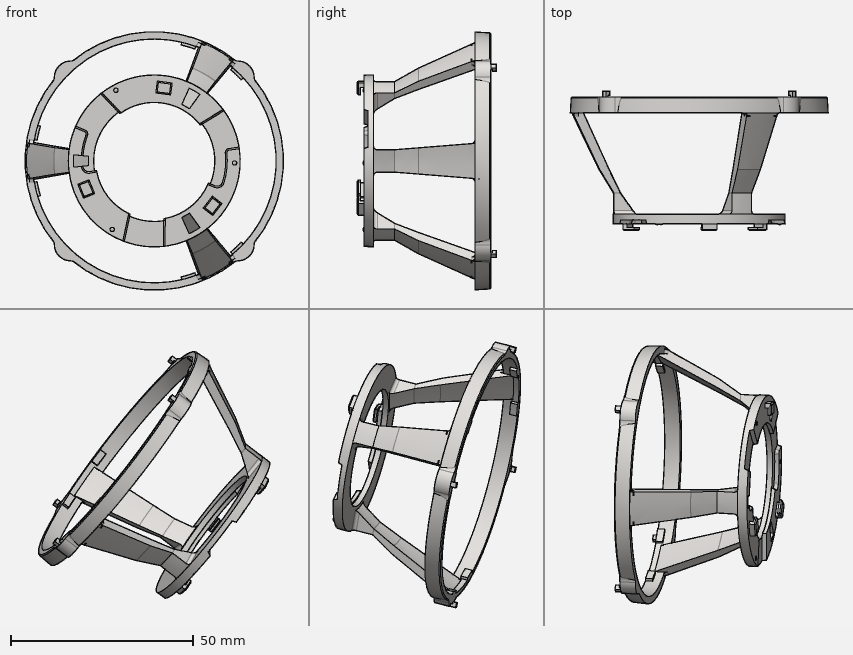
import cadquery as cq
import math


SMALL_OUTER_R = 23.55
SMALL_INNER_R = 16.55
LIP_INNER_R = 16.0
SMALL_THICKNESS = 2.67
RECESS_DEPTH = 1.1
RECESS_TAPER = 22.0
PAD_INNER_R = 20.0
PAD_CORNER_R = 0.7
PAD_ROOT_R = 2.0
CLEARANCE = 1.5

LEFT_RECESS_EDGE = (124.5, 127.5)
RIGHT_RECESS_EDGE = (39.4, 36.8)
BOTTOM_RECESS_EDGES = ((244.1, 248.5), (281.0, 277.1))
LEFT_PAD = (157.2, 190.8)
RIGHT_PAD = (8.2, -23.7)

LARGE_OUTER_R = 35.395
LARGE_TOP_R = 35.15
LARGE_INNER_R = 33.35
LARGE_START_Y = 30.4
LARGE_END_Y = 34.75
LARGE_CHAMFER = 0.3

LOBE_ANGLES = (45, 135, 225, 315)
LOBE_TIP_R = 36.85
LOBE_R = 4.5
LOBE_BLEND_R = 3.0
POST_TIP_Y = 36.3
POST_OUTER_R = 36.75
POST_WIDTH = 1.4
POST_STEM = 0.8
POST_LIP = 0.6
POST_LIP_HEIGHT = 1.1

STRUT_ANGLES = (60, 180, 300)
FOOT_TOP_Y = 8.4
KNEE_Y = 14.9
FOOT_OUTER_R = 23.5
KNEE_OUTER_R = 27.5
STRUT_OUTER_END_R = 35.1
STRUT_OUTER_END_Y = LARGE_START_Y + 0.3
FOOT_TOE_R = 17.7
FOOT_INNER_R = 21.7
KNEE_INNER_R = 24.9
FOOT_HALF_WIDTH = 3.1
STRUT_TIP_HALF_WIDTH = 5.2
STRUT_FILLET = 1.0
FILLET_INNER_R = 33.45
FILLET_OUTER_R = 34.6
ROOT_DEPTH = 0.5
STRUT_SWEEP = 60.0

WINDOW_INNER_R = 17.2
WINDOW_OUTER_R = 22.1
WINDOW_INNER_WIDTH = 2.4
WINDOW_OUTER_WIDTH = 3.4
WINDOW_DEPTH = 6.6

PLATE_INNER_R = 32.55
PLATE_START = 10.0
PLATE_END = 17.0
PLATE_HEIGHT = 2.0

HOOK_ANGLES = (82.4, 202.4, 322.4)
HOOK_OUTER_R = 21.8
HOOK_LENGTH = 3.3
HOOK_WIDTH = 4.1
HOOK_HEIGHT = 1.86
HOOK_STEM = 1.3
HOOK_LIP = 0.9
HOOK_CHAMFER = 0.35
BUMP_ANGLES = (118.5, 238.5, 358.5)
BUMP_CENTER_R = 22.0
BUMP_R = 0.6
BUMP_HEIGHT = 0.25


def polar(radius, angle):
    """Point in the X-Z plane at a radius and an angle."""
    return (radius * math.cos(math.radians(angle)), radius * math.sin(math.radians(angle)))


def plane_at(y):
    """X-Z workplane at height y; a negative extrusion grows toward +Y."""
    return cq.Workplane("XZ", origin=(0, y, 0))


def turned(body, angle):
    """Turn a body built along +X to its angle around the Y axis."""
    return body.rotate((0, 0, 0), (0, 1, 0), -angle)


def revolved(points, sweep=360):
    """Revolve a closed (radius, y) outline around the Y axis, centred on +X for a part turn."""
    body = cq.Workplane("XY").polyline(points).close().revolve(sweep, (0, 0, 0), (0, 1, 0))
    return turned(body, sweep / 2)


def tube(inner_r, outer_r, start_y, end_y):
    return plane_at(start_y).circle(outer_r).circle(inner_r).extrude(start_y - end_y)


def edge_line(edge):
    """Ends of a recess edge, carried past the ring on both sides."""
    inner = cq.Vector(*polar(LIP_INNER_R, edge[0]))
    outer = cq.Vector(*polar(SMALL_OUTER_R, edge[1]))
    overrun = (outer - inner).normalized() * CLEARANCE
    return (inner - overrun).toTuple()[:2], (outer + overrun).toTuple()[:2]


def tapered_pocket(prism):
    """Pocket with leaning walls from the mounting-face outline of a prism."""
    outline = prism.faces("<Y").wires().val()
    return plane_at(0).add(outline).toPending().extrude(-RECESS_DEPTH, taper=RECESS_TAPER)


def pad_recess(edge, pad):
    """Recess from a sector edge to a pad that is left standing at the outer rim."""
    inner, outer = edge_line(edge)
    corner_angle, root_angle = pad
    past_r = SMALL_OUTER_R + CLEARANCE
    corner = polar(PAD_INNER_R, corner_angle)
    root = polar(PAD_INNER_R, root_angle)
    prism = (
        plane_at(0)
        .moveTo(*outer)
        .lineTo(*inner)
        .lineTo(*polar(LIP_INNER_R - CLEARANCE, root_angle))
        .lineTo(*root)
        .threePointArc(polar(PAD_INNER_R, (corner_angle + root_angle) / 2), corner)
        .lineTo(*polar(past_r, corner_angle))
        .close()
        .extrude(-RECESS_DEPTH)
    )
    for point, radius in ((corner, PAD_CORNER_R), (root, PAD_ROOT_R)):
        nearest = cq.selectors.NearestToPointSelector((point[0], RECESS_DEPTH / 2, point[1]))
        prism = prism.edges("|Y").edges(nearest).fillet(radius)
    return tapered_pocket(prism)


def plain_recess(first_edge, second_edge):
    first_inner, first_outer = edge_line(first_edge)
    second_inner, second_outer = edge_line(second_edge)
    outline = [first_inner, first_outer, second_outer, second_inner]
    return tapered_pocket(plane_at(0).polyline(outline).close().extrude(-RECESS_DEPTH))


def small_ring():
    ring = revolved([
        (LIP_INNER_R, 0),
        (SMALL_OUTER_R, 0),
        (SMALL_OUTER_R, SMALL_THICKNESS),
        (SMALL_INNER_R, SMALL_THICKNESS),
        (SMALL_INNER_R, RECESS_DEPTH),
        (LIP_INNER_R, RECESS_DEPTH),
    ])
    ring = ring.cut(pad_recess(LEFT_RECESS_EDGE, LEFT_PAD))
    ring = ring.cut(pad_recess(RIGHT_RECESS_EDGE, RIGHT_PAD))
    return ring.cut(plain_recess(*BOTTOM_RECESS_EDGES))


def lobe():
    """Rounded ear on the rim, blended into it by a concave arc on each side."""
    center_r = LOBE_TIP_R - LOBE_R
    to_rim = LARGE_TOP_R + LOBE_BLEND_R
    to_lobe = LOBE_R + LOBE_BLEND_R
    cosine = (to_rim**2 + center_r**2 - to_lobe**2) / (2 * to_rim * center_r)
    half_angle = math.degrees(math.acos(cosine))
    ends = []
    for side in (-1, 1):
        blend = cq.Vector(*polar(to_rim, side * half_angle))
        rim_point = cq.Vector(*polar(LARGE_TOP_R, side * half_angle))
        toward_lobe = (cq.Vector(center_r, 0) - blend).normalized()
        toward_rim = (rim_point - blend).normalized()
        middle = blend + (toward_lobe + toward_rim).normalized() * LOBE_BLEND_R
        lobe_point = blend + toward_lobe * LOBE_BLEND_R
        ends.append([p.toTuple()[:2] for p in (rim_point, middle, lobe_point)])
    first, second = ends
    return (
        plane_at(LARGE_START_Y)
        .moveTo(*first[0])
        .threePointArc(first[1], first[2])
        .threePointArc((LOBE_TIP_R, 0), second[2])
        .threePointArc(second[1], second[0])
        .lineTo(*polar(LARGE_INNER_R + LARGE_CHAMFER, half_angle))
        .threePointArc(
            (LARGE_INNER_R + LARGE_CHAMFER, 0),
            polar(LARGE_INNER_R + LARGE_CHAMFER, -half_angle),
        )
        .close()
        .extrude(LARGE_START_Y - LARGE_END_Y)
    )


def post():
    """Small hook standing on a lobe, flush with its outside, with a lip pointing inward."""
    stem_r = POST_OUTER_R - POST_STEM
    lip_r = stem_r - POST_LIP
    return (
        cq.Workplane("XY", origin=(0, 0, -POST_WIDTH / 2))
        .moveTo(stem_r, LARGE_END_Y - ROOT_DEPTH)
        .lineTo(stem_r, POST_TIP_Y - POST_LIP_HEIGHT)
        .lineTo(lip_r, POST_TIP_Y - POST_LIP_HEIGHT)
        .lineTo(lip_r, POST_TIP_Y)
        .lineTo(POST_OUTER_R, POST_TIP_Y)
        .lineTo(POST_OUTER_R, LARGE_END_Y - ROOT_DEPTH)
        .close()
        .extrude(POST_WIDTH)
    )


def large_ring():
    ring = revolved([
        (LARGE_INNER_R, LARGE_START_Y),
        (LARGE_OUTER_R, LARGE_START_Y),
        (LARGE_TOP_R, LARGE_END_Y - LARGE_CHAMFER),
        (LARGE_TOP_R - LARGE_CHAMFER, LARGE_END_Y),
        (LARGE_INNER_R, LARGE_END_Y),
    ])
    for angle in LOBE_ANGLES:
        ring = ring.union(turned(lobe().union(post()), angle))
    return ring


def arm_half_width(y):
    """Half width of the widening arm at height y."""
    rise = (y - FOOT_TOP_Y) / (LARGE_END_Y - FOOT_TOP_Y)
    return FOOT_HALF_WIDTH + rise * (STRUT_TIP_HALF_WIDTH - FOOT_HALF_WIDTH)


def strut_width_outline():
    """Strut seen along its radius: straight foot, widening arm, flared base."""
    w = FOOT_HALF_WIDTH
    base = SMALL_THICKNESS
    f = STRUT_FILLET
    inset = f * (1 - math.sqrt(0.5))
    return (
        cq.Workplane("ZY")
        .moveTo(-w - f, 0)
        .lineTo(-w - f, base)
        .threePointArc((-w - inset, base + inset), (-w, base + f))
        .lineTo(-w, FOOT_TOP_Y)
        .lineTo(-STRUT_TIP_HALF_WIDTH, LARGE_END_Y)
        .lineTo(STRUT_TIP_HALF_WIDTH, LARGE_END_Y)
        .lineTo(w, FOOT_TOP_Y)
        .lineTo(w, base + f)
        .threePointArc((w + inset, base + inset), (w + f, base))
        .lineTo(w + f, 0)
        .close()
        .extrude(-LARGE_OUTER_R)
    )


def strut_fillets():
    """Concave fillets between the strut sides and the near face of the large ring."""
    f = STRUT_FILLET
    inset = f * (1 - math.sqrt(0.5))
    y = LARGE_START_Y
    w = arm_half_width(y - f)
    body = cq.Workplane("XY")
    for side in (-1, 1):
        fillet = (
            cq.Workplane("ZY")
            .moveTo(side * (w - f), y)
            .lineTo(side * (w - f), y - f)
            .lineTo(side * w, y - f)
            .threePointArc((side * (w + inset), y - inset), (side * (w + f), y))
            .lineTo(side * (w + f), y + ROOT_DEPTH)
            .lineTo(side * (w - f), y + ROOT_DEPTH)
            .close()
            .extrude(-LARGE_OUTER_R)
        )
        body = body.add(fillet)
    band = tube(FILLET_INNER_R, FILLET_OUTER_R, y - f, y + ROOT_DEPTH)
    return body.combine().intersect(band)


def strut():
    root_y = SMALL_THICKNESS - ROOT_DEPTH
    tip_y = LARGE_END_Y - ROOT_DEPTH
    outline = [
        (FOOT_TOE_R, root_y),
        (FOOT_OUTER_R, root_y),
        (FOOT_OUTER_R, FOOT_TOP_Y),
        (KNEE_OUTER_R, KNEE_Y),
        (STRUT_OUTER_END_R, STRUT_OUTER_END_Y),
        (LARGE_INNER_R + 2 * ROOT_DEPTH, tip_y),
        (LARGE_INNER_R + ROOT_DEPTH, tip_y),
        (KNEE_INNER_R, KNEE_Y),
        (FOOT_INNER_R, FOOT_TOP_Y),
        (FOOT_TOE_R, SMALL_THICKNESS),
    ]
    profile = revolved(outline, STRUT_SWEEP)
    return profile.intersect(strut_width_outline()).union(strut_fillets())


def window():
    """Tapering window whose sloping floor runs along the inside of the strut foot."""
    outline = [(WINDOW_INNER_R, 0), (WINDOW_OUTER_R, WINDOW_DEPTH), (WINDOW_OUTER_R, 0)]
    slope = revolved(outline, STRUT_SWEEP)
    opening = (
        plane_at(0)
        .moveTo(WINDOW_INNER_R, -WINDOW_INNER_WIDTH / 2)
        .lineTo(WINDOW_OUTER_R, -WINDOW_OUTER_WIDTH / 2)
        .lineTo(WINDOW_OUTER_R, WINDOW_OUTER_WIDTH / 2)
        .lineTo(WINDOW_INNER_R, WINDOW_INNER_WIDTH / 2)
        .close()
        .extrude(-WINDOW_DEPTH)
    )
    return opening.intersect(slope)


def stop_plate():
    start = polar(PLATE_INNER_R, PLATE_START)
    end = polar(PLATE_INNER_R, PLATE_END)
    middle = (PLATE_START + PLATE_END) / 2
    rim_r = (LARGE_INNER_R + LARGE_TOP_R) / 2
    return (
        plane_at(LARGE_END_Y - PLATE_HEIGHT)
        .moveTo(*start)
        .threePointArc(polar(PLATE_INNER_R, middle), end)
        .lineTo(*polar(rim_r, PLATE_END))
        .threePointArc(polar(rim_r, middle), polar(rim_r, PLATE_START))
        .close()
        .extrude(-PLATE_HEIGHT)
    )


def hook():
    """L-shaped hook: a stem at the outside and a lip pointing at the ring axis."""
    inner_r = HOOK_OUTER_R - HOOK_LENGTH
    stem_r = HOOK_OUTER_R - HOOK_STEM
    return (
        cq.Workplane("XY", origin=(0, 0, -HOOK_WIDTH / 2))
        .moveTo(stem_r, RECESS_DEPTH / 2)
        .lineTo(HOOK_OUTER_R, RECESS_DEPTH / 2)
        .lineTo(HOOK_OUTER_R, -HOOK_HEIGHT)
        .lineTo(inner_r, -HOOK_HEIGHT)
        .lineTo(inner_r, HOOK_LIP - HOOK_HEIGHT)
        .lineTo(stem_r, HOOK_LIP - HOOK_HEIGHT)
        .close()
        .extrude(HOOK_WIDTH)
        .faces("<Y")
        .edges()
        .chamfer(HOOK_CHAMFER)
    )


def bump():
    """Low dome, a slice of a sphere."""
    sphere_r = (BUMP_R**2 + BUMP_HEIGHT**2) / (2 * BUMP_HEIGHT)
    return cq.Workplane("XY").sphere(sphere_r).translate((BUMP_CENTER_R, sphere_r - BUMP_HEIGHT, 0))


def lower_frame():
    """Small ring with its hooks and bumps."""
    body = small_ring()
    for angle in HOOK_ANGLES:
        body = body.union(turned(hook(), angle))
    for angle in BUMP_ANGLES:
        body = body.union(turned(bump(), angle))
    return body


def upper_frame():
    """Large ring with its stop plates."""
    body = large_ring()
    for angle in STRUT_ANGLES:
        for plate in (stop_plate(), stop_plate().mirror("XY")):
            body = body.union(turned(plate, angle))
    return body


def frame():
    body = lower_frame()
    for angle in STRUT_ANGLES:
        body = body.union(turned(strut(), angle))
        body = body.cut(turned(window(), angle))
    return body.union(upper_frame())


result = frame()